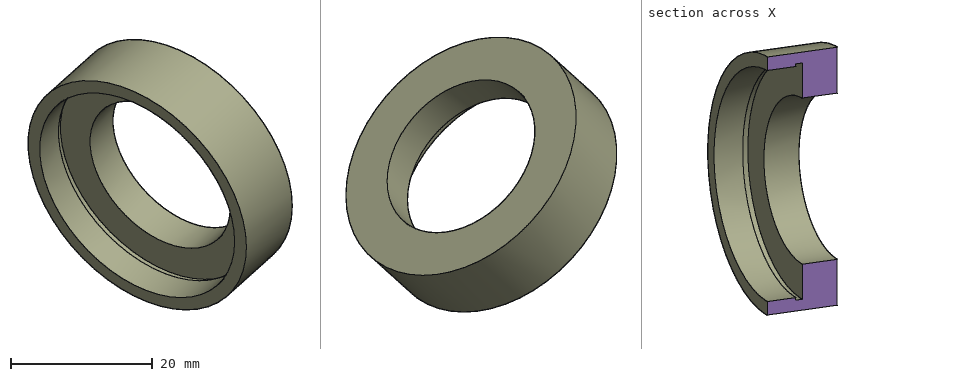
import cadquery as cq

outer_diameter = 38.1
width = 11.0
bore_diameter = 24.42
recess_diameter = 34.0
recess_depth = 5.5
groove_diameter = 34.75
groove_width = 1.0


def disc(diameter, length, depth=0):
    """Cylinder along Y, starting at a depth below the -Y face of the ring."""
    start = cq.Workplane("XZ", origin=(0, depth - width / 2, 0))
    return start.circle(diameter / 2).extrude(-length)


body = disc(outer_diameter, width)
bore = disc(bore_diameter, width)
recess = disc(recess_diameter, recess_depth)
groove = disc(groove_diameter, groove_width, recess_depth - groove_width)

result = body.cut(bore).cut(recess).cut(groove)